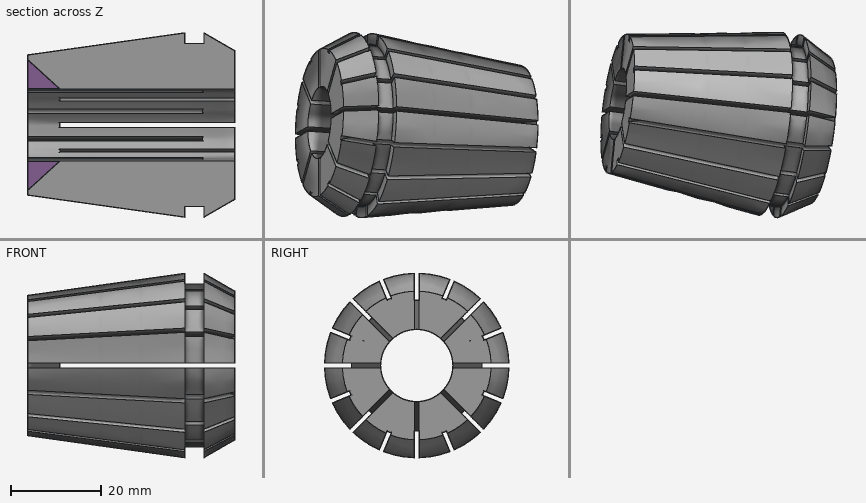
import cadquery as cq
import math

LENGTH = 46.0
MAX_DIAMETER = 41.0
BORE_DIAMETER = 16.0

FRONT_ANGLE = 8.0
BACK_ANGLE = 30.0
GROOVE_START = 34.9
GROOVE_WIDTH = 4.2
GROOVE_DIAMETER = 36.25

SLOTS_PER_END = 8
SLOT_WIDTH = 1.0
BRIDGE_LENGTH = 7.18
FRONT_FLOOR_RADIUS = 14.55
BACK_FLOOR_RADIUS = 16.0
CLEARANCE = 2.3

max_radius = MAX_DIAMETER / 2
bore_radius = BORE_DIAMETER / 2
groove_radius = GROOVE_DIAMETER / 2
groove_end = GROOVE_START + GROOVE_WIDTH
front_radius = max_radius - GROOVE_START * math.tan(math.radians(FRONT_ANGLE))
back_radius = max_radius - (LENGTH - groove_end) * math.tan(math.radians(BACK_ANGLE))
slot_pitch = 360.0 / SLOTS_PER_END
cutter_inner = bore_radius - CLEARANCE
cutter_outer = max_radius + CLEARANCE


def revolve_about_x(outline):
    """Solid of revolution about X from a closed (x, radius) outline."""
    return cq.Workplane("XY").polyline(outline).close().revolve(360, (0, 0, 0), (1, 0, 0))


def make_body():
    """Double-tapered sleeve with a locking groove."""
    return revolve_about_x([
        (0, bore_radius),
        (0, front_radius),
        (GROOVE_START, max_radius),
        (GROOVE_START, groove_radius),
        (groove_end, groove_radius),
        (groove_end, max_radius),
        (LENGTH, back_radius),
        (LENGTH, bore_radius),
    ])


def make_slots(outline, first_angle):
    """Evenly spaced radial slots, limited to the revolved (x, radius) outline."""
    blade = cq.Workplane("XY").box(LENGTH, SLOT_WIDTH, cutter_outer, centered=(False, True, False))
    blades = cq.Workplane("XY")
    for index in range(SLOTS_PER_END):
        angle = first_angle + index * slot_pitch
        blades = blades.add(blade.rotate((0, 0, 0), (1, 0, 0), angle))
    return blades.combine().intersect(revolve_about_x(outline))


back_slots = make_slots(
    [
        (0, FRONT_FLOOR_RADIUS),
        (BRIDGE_LENGTH, bore_radius),
        (BRIDGE_LENGTH, cutter_inner),
        (LENGTH, cutter_inner),
        (LENGTH, cutter_outer),
        (0, cutter_outer),
    ],
    0,
)

front_slots = make_slots(
    [
        (0, cutter_inner),
        (LENGTH - BRIDGE_LENGTH, cutter_inner),
        (LENGTH - BRIDGE_LENGTH, bore_radius),
        (LENGTH, BACK_FLOOR_RADIUS),
        (LENGTH, cutter_outer),
        (0, cutter_outer),
    ],
    slot_pitch / 2,
)

result = make_body().cut(back_slots).cut(front_slots)